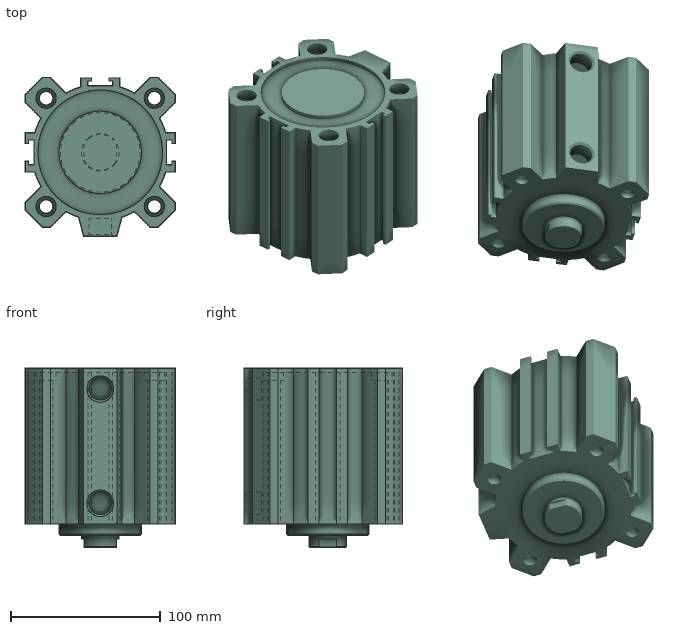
import cadquery as cq
import math

total_height = 119.5
total_depth = 106.0
envelope_width = 100.0
collar_height = 7.5
rod_length = 8.0
housing_height = total_height - collar_height - rod_length

barrel_diameter = 91.3
half_width = envelope_width / 2
overlap = 6.0

bolt_offset = 36.1
lug_width = 23.7
lug_end = 62.6
bolt_diameter = 9.0
counterbore_diameter = 13.5
counterbore_depth = 8.2

back_rail_face = 49.7
rail_width = 26.3
slot_mouth_width = 11.6
slot_inner_width = 16.5
slot_lip = 2.3
side_slot_floor = 44.3
back_slot_floor = 44.6

port_face = total_depth - half_width
port_block_width = 22.2
port_block_draft = 15.0
port_block_root = 40.6
port_diameter = 14.9
port_mouth_diameter = 17.7
port_depth = 12.0
port_end_distance = 13.9

cover_recess_diameter = 83.2
cover_recess_depth = 2.9
boss_diameter = 55.0
collar_chamfer = 1.0

rod_diameter = 25.0
rod_chamfer = 0.5
across_flats = 22.0
flat_start = 2.4


def corner_lugs():
    """Four diagonal lugs, trimmed by the square envelope of the housing."""
    lug_start = barrel_diameter / 2 - overlap
    lugs = cq.Workplane("XY")
    for angle in (45, 135, 225, 315):
        lug = (
            cq.Workplane("XY")
            .center((lug_start + lug_end) / 2, 0)
            .rect(lug_end - lug_start, lug_width)
            .extrude(housing_height)
            .rotate((0, 0, 0), (0, 0, 1), angle)
        )
        lugs = lugs.add(lug)
    envelope = cq.Workplane("XY").rect(envelope_width, envelope_width).extrude(housing_height)
    return lugs.combine().intersect(envelope)


def rail(face):
    """Solid rail on the +X side, reaching out to the given face."""
    start = barrel_diameter / 2 - overlap
    return (
        cq.Workplane("XY")
        .center((start + face) / 2, 0)
        .rect(face - start, rail_width)
        .extrude(housing_height)
    )


def t_slot(face, floor):
    """Material removed from a +X rail: a narrow mouth and a wider channel behind it."""
    channel_top = face - slot_lip
    mouth = (
        cq.Workplane("XY")
        .center((floor + face) / 2, 0)
        .rect(face - floor, slot_mouth_width)
        .extrude(housing_height)
    )
    channel = (
        cq.Workplane("XY")
        .center((floor + channel_top) / 2, 0)
        .rect(channel_top - floor, slot_inner_width)
        .extrude(housing_height)
    )
    return mouth.union(channel)


def port_block():
    """Block on the -Y side that narrows towards its outer face."""
    face_half = port_block_width / 2
    taper = (port_face - port_block_root) * math.tan(math.radians(port_block_draft))
    root_half = face_half + taper
    return (
        cq.Workplane("XY")
        .polyline([
            (-root_half, -port_block_root),
            (-face_half, -port_face),
            (face_half, -port_face),
            (root_half, -port_block_root),
        ])
        .close()
        .extrude(housing_height)
    )


def port(height):
    """Blind port with a 45 degree countersunk mouth, bored along +Y at the given height."""
    radius = port_diameter / 2
    mouth_radius = port_mouth_diameter / 2
    mouth_depth = mouth_radius - radius
    return (
        cq.Workplane("XY")
        .polyline([
            (0, 0),
            (mouth_radius, 0),
            (radius, mouth_depth),
            (radius, port_depth),
            (0, port_depth),
        ])
        .close()
        .revolve(360, (0, 0, 0), (0, 1, 0))
        .translate((0, -port_face, height))
    )


def make_housing():
    housing = cq.Workplane("XY").circle(barrel_diameter / 2).extrude(housing_height)
    housing = housing.union(corner_lugs()).union(port_block())

    for angle, face, floor in (
        (0, half_width, side_slot_floor),
        (90, back_rail_face, back_slot_floor),
        (180, half_width, side_slot_floor),
    ):
        turned_rail = rail(face).rotate((0, 0, 0), (0, 0, 1), angle)
        turned_slot = t_slot(face, floor).rotate((0, 0, 0), (0, 0, 1), angle)
        housing = housing.union(turned_rail).cut(turned_slot)

    housing = (
        housing.faces(">Z").workplane(origin=(0, 0, housing_height))
        .rect(2 * bolt_offset, 2 * bolt_offset, forConstruction=True)
        .vertices()
        .cboreHole(bolt_diameter, counterbore_diameter, counterbore_depth)
    )

    for height in (port_end_distance, housing_height - port_end_distance):
        housing = housing.cut(port(height))

    recess = (
        cq.Workplane("XY", origin=(0, 0, housing_height))
        .circle(cover_recess_diameter / 2)
        .circle(boss_diameter / 2)
        .extrude(-cover_recess_depth)
    )
    housing = housing.cut(recess)

    collar = (
        cq.Workplane("XY")
        .circle(boss_diameter / 2)
        .extrude(-collar_height)
        .faces("<Z").chamfer(collar_chamfer)
    )
    return housing.union(collar)


def make_rod():
    """Rod end standing on the collar face, with two wrench flats facing -X and +X."""
    rod = (
        cq.Workplane("XY", origin=(0, 0, -collar_height))
        .circle(rod_diameter / 2)
        .extrude(-rod_length)
        .faces("<Z").chamfer(rod_chamfer)
    )
    outside_flats = (
        cq.Workplane("XY", origin=(0, 0, -collar_height - flat_start))
        .rect(2 * rod_diameter, 2 * rod_diameter)
        .rect(across_flats, 2 * rod_diameter)
        .extrude(-rod_length)
    )
    return rod.cut(outside_flats)


housing = make_housing()
rod = make_rod()

result = cq.Compound.makeCompound([housing.val(), rod.val()])